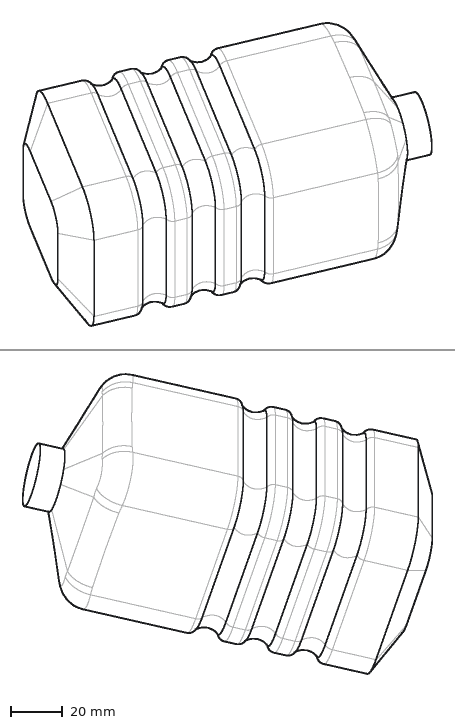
import cadquery as cq
import math

length = 155.0
width = 75.0
corner_radius = 15.0

base_height = 9.9
base_scale = 0.6

groove_count = 3
groove_start = 27.6
groove_pitch = 20.0
groove_width = 15.0
lip_length = 2.8
lip_depth = 2.0
side_depth = 4.2

shoulder_start = 132.2
shoulder_radius = 11.2
edge_tolerance = 0.2
neck_length = 9.9
neck_radius = 12.5
neck_start = length - neck_length


def rounded_section(y, x_inset=0.0, z_inset=0.0, radius=corner_radius):
    """Closed rounded rectangle with its sides inset from the full width."""
    half_x = width / 2 - x_inset
    half_z = width / 2 - z_inset
    corners = [
        cq.Vector(-half_x, y, -half_z),
        cq.Vector(half_x, y, -half_z),
        cq.Vector(half_x, y, half_z),
        cq.Vector(-half_x, y, half_z),
    ]
    outline = cq.Wire.makePolygon(corners, close=True)
    return outline.fillet2D(radius, outline.Vertices())


def loft(sections, ruled=False):
    return cq.Workplane(cq.Solid.makeLoft(sections, ruled))


def straight_body(start, end):
    return loft([rounded_section(start), rounded_section(end)], ruled=True)


def lip(outer_y, inner_y):
    """Convex rim, tangent to the outer wall and curving in to the groove floor."""
    arc_radius = (lip_length**2 + lip_depth**2) / (2 * lip_depth)
    middle_inset = arc_radius - math.sqrt(arc_radius**2 - (lip_length / 2) ** 2)
    insets = (0.0, middle_inset, lip_depth)
    heights = (outer_y, (outer_y + inner_y) / 2, inner_y)
    return loft([
        rounded_section(y, inset, inset, corner_radius - inset)
        for y, inset in zip(heights, insets)
    ])


def groove(start):
    """Waist with a flat floor on the Z sides and a hollow floor on the X sides."""
    end = start + groove_width
    floor_start = start + lip_length
    floor_end = end - lip_length
    radius = corner_radius - lip_depth
    floor = loft([
        rounded_section(floor_start, lip_depth, lip_depth, radius),
        rounded_section((floor_start + floor_end) / 2, side_depth, lip_depth, radius),
        rounded_section(floor_end, lip_depth, lip_depth, radius),
    ])
    return lip(start, floor_start).union(floor).union(lip(end, floor_end))


def tapered_base():
    inset = width * (1 - base_scale) / 2
    bottom = rounded_section(0, inset, inset, corner_radius * base_scale)
    return loft([bottom, rounded_section(base_height)], ruled=True)


def upper_body(start):
    """Square body blending through a rounded shoulder to the round neck."""
    neck_base = cq.Vector(0, neck_start, 0)
    axis = cq.Vector(0, 1, 0)
    neck_circle = cq.Wire.makeCircle(neck_radius, neck_base, axis)
    shoulder = loft([rounded_section(shoulder_start), neck_circle], ruled=True)
    body = straight_body(start, shoulder_start).union(shoulder)
    shoulder_edges = cq.selectors.BoxSelector(
        (-width, shoulder_start - edge_tolerance, -width),
        (width, shoulder_start + edge_tolerance, width),
    )
    body = body.edges(shoulder_edges).fillet(shoulder_radius)
    neck = cq.Workplane(cq.Solid.makeCylinder(neck_radius, neck_length, neck_base, axis))
    return body.union(neck)


result = tapered_base()
wall_start = base_height
for index in range(groove_count):
    start = groove_start + index * groove_pitch
    result = result.union(straight_body(wall_start, start)).union(groove(start))
    wall_start = start + groove_width
result = result.union(upper_body(wall_start))